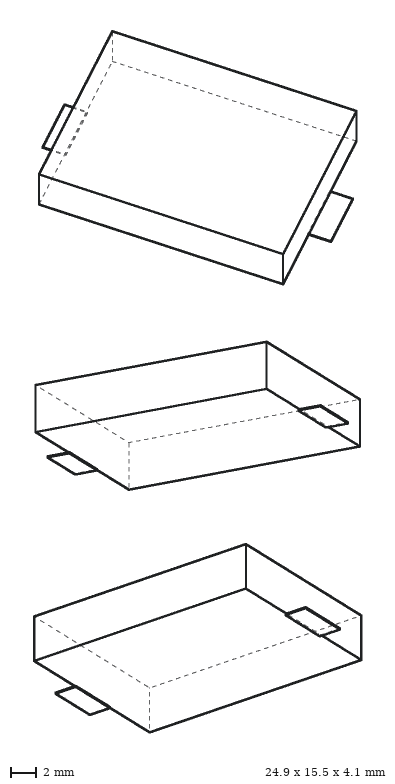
import cadquery as cq

overall_length = 24.9
overall_height = 4.1

housing_length = 21.1
housing_width = 15.5

tab_width = 4.6
tab_thickness = 0.1
tab_overlap = 0.1

housing_height = overall_height - tab_thickness
tab_length = (overall_length - housing_length) / 2 + tab_overlap
tab_center_x = (overall_length - tab_length) / 2


def make_housing():
    """Plain rectangular block resting on the tabs."""
    return (
        cq.Workplane("XY")
        .workplane(offset=tab_thickness)
        .box(housing_length, housing_width, housing_height, centered=(True, True, False))
    )


def make_tab(side):
    """Thin terminal tab at the -X (side = -1) or +X (side = 1) end."""
    return (
        cq.Workplane("XY")
        .center(side * tab_center_x, 0)
        .box(tab_length, tab_width, tab_thickness, centered=(True, True, False))
    )


housing = make_housing()
tabs = [make_tab(side) for side in (-1, 1)]

result = cq.Compound.makeCompound([housing.val(), *[tab.val() for tab in tabs]])